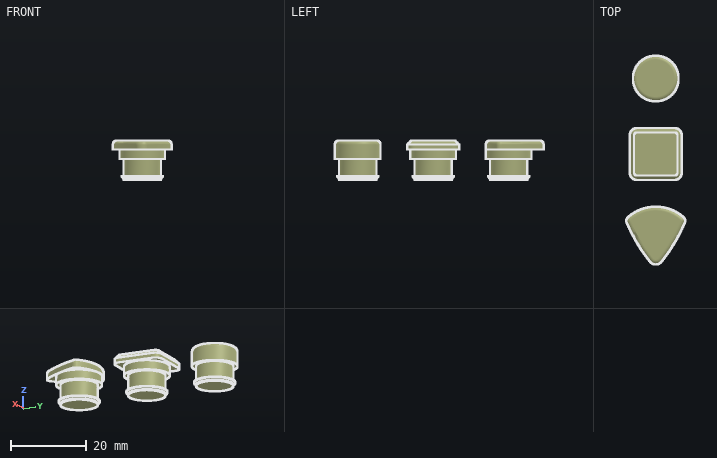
import cadquery as cq
import math

TOTAL_HEIGHT = 10.5
CAP_HEIGHT = 2.5
COLLAR_HEIGHT = 2.5
LIP_HEIGHT = 1.05
LIP_RIM_HEIGHT = 0.15
CAP_BASE = TOTAL_HEIGHT - CAP_HEIGHT
COLLAR_BASE = CAP_BASE - COLLAR_HEIGHT

COLLAR_DIAMETER = 12.2
STEM_DIAMETER = 10.0
LIP_DIAMETER = 11.0
LIP_TAPER = 0.8

EDGE_SIZE = 1.15
SQUARE_SIDE = 13.85
SQUARE_CORNER_RADIUS = 2.0
COLLAR_RADIUS = COLLAR_DIAMETER / 2

ROW_LENGTH = 55.4
PLUG_SPACING = 20.0
WEDGE_TIP_REACH = ROW_LENGTH - COLLAR_RADIUS - 2 * PLUG_SPACING

WEDGE_WIDTH = 15.7
WEDGE_BACK_RADIUS = 11.0
WEDGE_SIDE_RADIUS = 44.35
WEDGE_CORNER_RADIUS = 1.2
WEDGE_TIP_RADIUS = 2.0
WEDGE_CORNER_X = WEDGE_WIDTH / 2 - WEDGE_CORNER_RADIUS
TIP_TANGENT_X = 1.7


def arc_bulge(chord, radius):
    """Height of an arc of the given radius above the middle of its chord."""
    return radius - math.sqrt(radius**2 - (chord / 2) ** 2)


def make_stem():
    """Collar, stem and tapered snap lip shared by all plugs."""
    collar = cq.Workplane().workplane(offset=COLLAR_BASE).circle(COLLAR_RADIUS).extrude(COLLAR_HEIGHT)
    stem = cq.Workplane().circle(STEM_DIAMETER / 2).extrude(COLLAR_BASE)
    lip = cq.Workplane().circle(LIP_DIAMETER / 2).extrude(LIP_HEIGHT)
    lip = lip.faces("<Z").chamfer(LIP_HEIGHT - LIP_RIM_HEIGHT, LIP_TAPER)
    return collar.union(stem).union(lip)


def cap_plane():
    return cq.Workplane().workplane(offset=CAP_BASE)


def make_round_plug():
    cap = cap_plane().circle(COLLAR_RADIUS).extrude(CAP_HEIGHT)
    return make_stem().union(cap.faces(">Z").edges().fillet(EDGE_SIZE))


def make_square_plug():
    cap = cap_plane().rect(SQUARE_SIDE, SQUARE_SIDE).extrude(CAP_HEIGHT)
    cap = cap.edges("|Z").fillet(SQUARE_CORNER_RADIUS)
    return make_stem().union(cap.faces(">Z").edges().chamfer(EDGE_SIZE))


def wedge_outline():
    """Curved triangle inside the corner rounding, grown outward by the corner radius."""
    r = WEDGE_CORNER_RADIUS
    back_y = COLLAR_RADIUS - r
    corner_x = WEDGE_CORNER_X
    corner_y = back_y - arc_bulge(2 * corner_x, WEDGE_BACK_RADIUS - r)
    tip_y = r - WEDGE_TIP_REACH
    tip_radius = WEDGE_TIP_RADIUS - r
    tip_x = TIP_TANGENT_X * tip_radius / WEDGE_TIP_RADIUS
    tip_top_y = tip_y + arc_bulge(2 * tip_x, tip_radius)
    run_x = corner_x - tip_x
    run_y = corner_y - tip_top_y
    length = math.hypot(run_x, run_y)
    bulge = arc_bulge(length, WEDGE_SIDE_RADIUS - r)
    side_x = (corner_x + tip_x) / 2 + bulge * run_y / length
    side_y = (corner_y + tip_top_y) / 2 - bulge * run_x / length
    return (
        cap_plane()
        .moveTo(-corner_x, corner_y)
        .threePointArc((0, back_y), (corner_x, corner_y))
        .threePointArc((side_x, side_y), (tip_x, tip_top_y))
        .threePointArc((0, tip_y), (-tip_x, tip_top_y))
        .threePointArc((-side_x, side_y), (-corner_x, corner_y))
        .close()
        .offset2D(r)
    )


def make_wedge_plug():
    cap = wedge_outline().extrude(CAP_HEIGHT)
    return make_stem().union(cap.faces(">Z").edges().fillet(EDGE_SIZE))


round_plug = make_round_plug().translate((0, PLUG_SPACING, 0))
square_plug = make_square_plug()
wedge_plug = make_wedge_plug().translate((0, -PLUG_SPACING, 0))

result = cq.Compound.makeCompound([round_plug.val(), square_plug.val(), wedge_plug.val()])